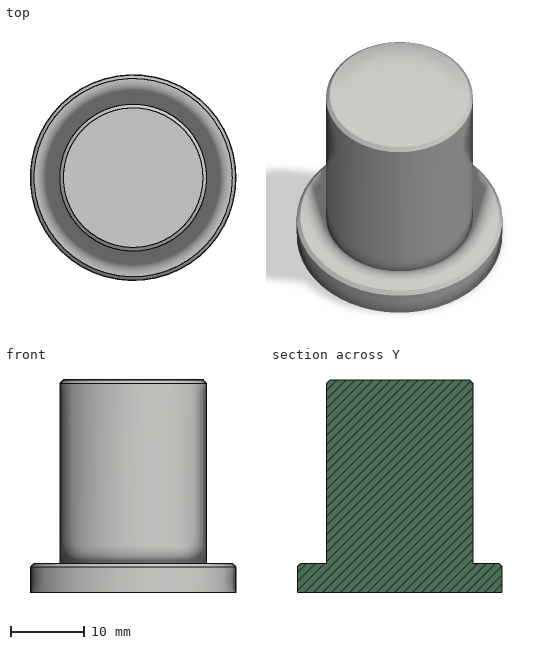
import cadquery as cq

flange_diameter = 28.0
flange_thickness = 4.0
shank_diameter = 20.0
shank_length = 25.0
edge_chamfer = 0.5


def chamfered_disc(diameter, height, base_z):
    """Vertical cylinder standing at base_z with its top rim chamfered."""
    disc = cq.Workplane("XY").workplane(offset=base_z).circle(diameter / 2).extrude(height)
    return disc.faces(">Z").edges().chamfer(edge_chamfer)


flange = chamfered_disc(flange_diameter, flange_thickness, 0)
shank = chamfered_disc(shank_diameter, shank_length, flange_thickness)

result = flange.union(shank)